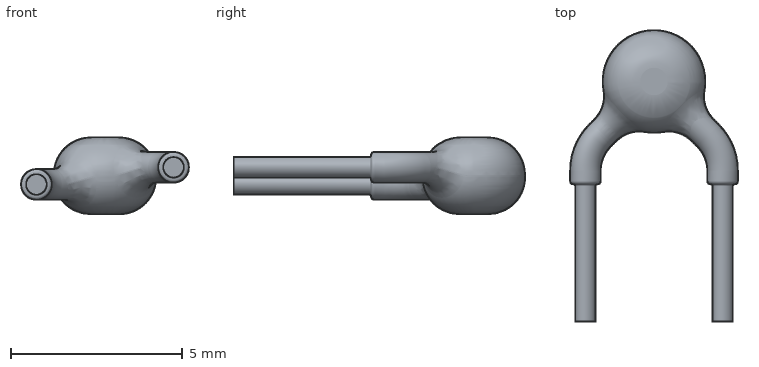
import cadquery as cq
import math

head_diameter = 3.0
head_height = 2.25
head_edge_radius = 1.1

lead_pitch = 4.0
lead_height_offset = 0.25
wire_diameter = 0.6
wire_end_y = -7.0

coating_diameter = 0.9
coating_end_y = -3.0
coating_end_radius = 0.1
wire_root_radius = coating_diameter / 2 - coating_end_radius - wire_diameter / 2
bend_end_y = -2.6
root_offset = 0.4
neck_fillet_radius = 1.0

leg_angle = math.radians(45)
lead_x = lead_pitch / 2
bend_radius = (-bend_end_y - lead_x * math.tan(leg_angle)) / (
    math.sin(leg_angle) - (1 - math.cos(leg_angle)) * math.tan(leg_angle)
)


def make_head():
    """Revolved disc with small flat ends and rounded edges, which leave a narrow straight rim."""
    radius = head_diameter / 2
    half_height = head_height / 2
    flat_radius = radius - head_edge_radius
    rim_half_height = half_height - head_edge_radius
    profile = (
        cq.Workplane("XZ")
        .moveTo(0, -half_height)
        .lineTo(flat_radius, -half_height)
        .ellipseArc(head_edge_radius, head_edge_radius, -90, 0, startAtCurrent=True)
        .lineTo(radius, rim_half_height)
        .ellipseArc(head_edge_radius, head_edge_radius, 0, 90, startAtCurrent=True)
        .lineTo(0, half_height)
        .close()
    )
    return profile.revolve(360, (0, 0, 0), (0, 1, 0))


def bend_point(angle, side):
    """Point on the bend's centre line, at an angle from the straight lead."""
    x = lead_x - bend_radius * (1 - math.cos(angle))
    return side * x, bend_end_y + bend_radius * math.sin(angle)


def make_coated_leg(side):
    """Coating of one leg; side is +1 for the upper, +X leg and -1 for the lower, -X leg."""
    height = side * lead_height_offset
    path = (
        cq.Workplane("XY", origin=(0, 0, height))
        .moveTo(side * lead_x, coating_end_y)
        .lineTo(side * lead_x, bend_end_y)
        .threePointArc(bend_point(leg_angle / 2, side), bend_point(leg_angle, side))
        .lineTo(side * root_offset, -root_offset)
    )
    section = cq.Workplane("XZ", origin=(side * lead_x, coating_end_y, height))
    leg = section.circle(coating_diameter / 2).sweep(path)
    return leg.faces("<Y").edges().fillet(coating_end_radius)


def make_wire(side):
    """Bare wire of one leg, with a concave flare where it leaves the coating."""
    wire_radius = wire_diameter / 2
    flare_radius = wire_radius + wire_root_radius
    profile = (
        cq.Workplane("XY", origin=(side * lead_x, 0, side * lead_height_offset))
        .moveTo(0, bend_end_y)
        .lineTo(0, wire_end_y)
        .lineTo(wire_radius, wire_end_y)
        .lineTo(wire_radius, coating_end_y - wire_root_radius)
        .radiusArc((flare_radius, coating_end_y), wire_root_radius)
        .lineTo(flare_radius, bend_end_y)
        .close()
    )
    return profile.revolve(360, (0, 0, 0), (0, 1, 0))


def neck_edges(body, side):
    """Edges where one coated leg meets the head."""
    shortest_reach = 1.2
    longest_reach = 1.7
    tolerance = 0.01
    found = []
    for edge in body.edges("not %LINE").vals():
        middle = edge.positionAt(0.5)
        reach = side * middle.x * math.cos(leg_angle) - middle.y * math.sin(leg_angle)
        across = side * middle.x * math.sin(leg_angle) + middle.y * math.cos(leg_angle)
        axis_distance = math.hypot(across, middle.z - side * lead_height_offset)
        on_coating = abs(axis_distance - coating_diameter / 2) < tolerance
        if on_coating and shortest_reach < reach < longest_reach:
            found.append(edge)
    return found


sides = (1, -1)
result = make_head()
for side in sides:
    result = result.union(make_coated_leg(side))
for side in sides:
    result = result.newObject(neck_edges(result, side)).fillet(neck_fillet_radius)
for side in sides:
    result = result.union(make_wire(side))